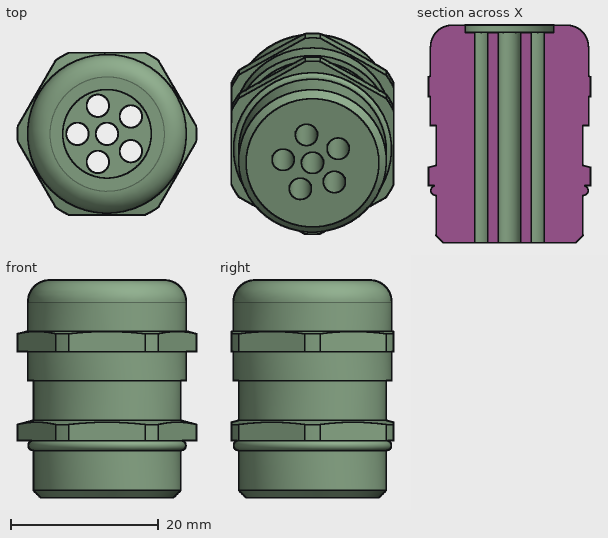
import cadquery as cq
import math

lower_hex_bottom = 7.75
lower_hex_edge_top = 9.92
cap_bottom = 15.85
upper_hex_bottom = 19.8
upper_hex_edge_top = 22.2
total_height = 29.5

body_radius = 10.0
body_end_chamfer = 1.0
cap_radius = 10.75
cap_fillet = 3.0
ring_radius = 10.7
ring_height = 1.35

hex_sides = 6
hex_across_flats = 22.0
hex_across_corners = hex_across_flats / math.cos(math.pi / hex_sides)
hex_corner_radius = 12.15
hex_slope_angle = math.radians(15)

recess_radius = 6.0
recess_depth = 1.0
cable_hole_diameter = 3.0
cable_hole_circle_radius = 4.0
cable_hole_count = 5
first_cable_hole_angle = 180


def cylinder(radius, bottom, top):
    return cq.Workplane("XY").workplane(offset=bottom).circle(radius).extrude(top - bottom)


def make_body():
    body = cylinder(body_radius, 0, cap_bottom)
    return body.faces("<Z").chamfer(body_end_chamfer)


def make_cap():
    cap = cylinder(cap_radius, cap_bottom, total_height)
    return cap.faces(">Z").edges().fillet(cap_fillet)


def make_sealing_ring():
    """Ring with a half-round outer edge, seated under the lower hexagon."""
    edge_radius = ring_height / 2
    ring_bottom = lower_hex_bottom - ring_height
    profile = (
        cq.Workplane("XZ")
        .moveTo(0, ring_bottom)
        .lineTo(ring_radius - edge_radius, ring_bottom)
        .threePointArc(
            (ring_radius, ring_bottom + edge_radius),
            (ring_radius - edge_radius, lower_hex_bottom),
        )
        .lineTo(0, lower_hex_bottom)
        .close()
    )
    return profile.revolve(360, (0, 0, 0), (0, 1, 0))


def make_hexagon(bottom, edge_top, neck_radius):
    """Hexagon with turned corners and a conical top rising to the neck above it."""
    neck_top = edge_top + (hex_corner_radius - neck_radius) * math.tan(hex_slope_angle)
    prism = (
        cq.Workplane("XY")
        .workplane(offset=bottom)
        .polygon(hex_sides, hex_across_corners)
        .extrude(neck_top - bottom)
    )
    turned_outline = (
        cq.Workplane("XZ")
        .polyline([
            (0, bottom),
            (hex_corner_radius, bottom),
            (hex_corner_radius, edge_top),
            (neck_radius, neck_top),
            (0, neck_top),
        ])
        .close()
        .revolve(360, (0, 0, 0), (0, 1, 0))
    )
    return prism.intersect(turned_outline)


def make_cable_holes():
    """One central hole and a ring of holes, running the full height."""
    base_plane = cq.Workplane("XY")
    center_hole = base_plane.circle(cable_hole_diameter / 2).extrude(total_height)
    outer_holes = (
        base_plane
        .polarArray(cable_hole_circle_radius, first_cable_hole_angle, 360, cable_hole_count)
        .circle(cable_hole_diameter / 2)
        .extrude(total_height)
    )
    return center_hole.union(outer_holes)


gland = (
    make_body()
    .union(make_cap())
    .union(make_sealing_ring())
    .union(make_hexagon(lower_hex_bottom, lower_hex_edge_top, body_radius))
    .union(make_hexagon(upper_hex_bottom, upper_hex_edge_top, cap_radius))
)
recess = cylinder(recess_radius, total_height - recess_depth, total_height)

result = gland.cut(recess).cut(make_cable_holes())